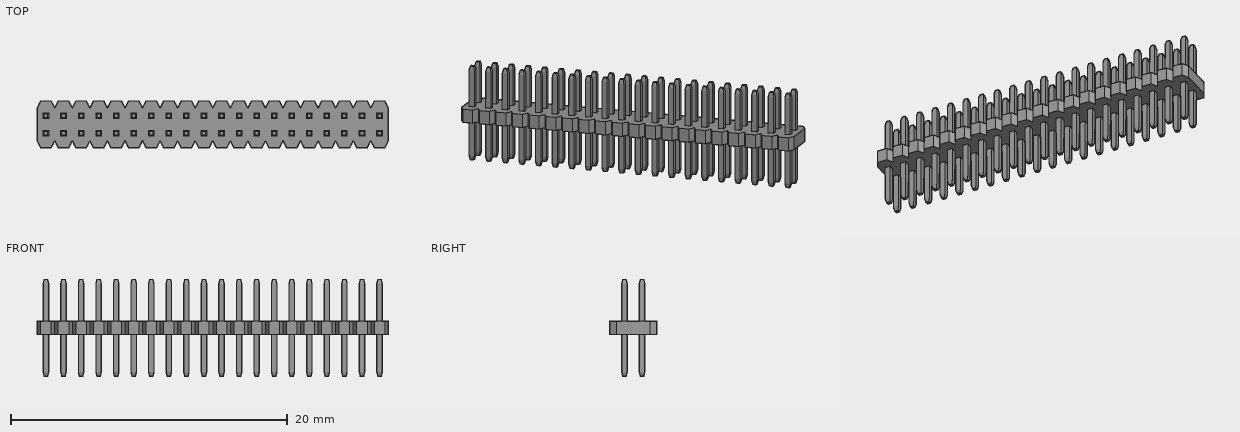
import cadquery as cq

columns = 20
rows = 2
pitch = 1.27

body_length = columns * pitch
body_width = 3.4
body_height = 1.0

notch_depth = 0.5
notch_half_width = 0.25

pin_length = 7.0
pin_side = 0.4
tip_side = 0.25
tip_height = 0.3


def make_body():
    """Strip of side-by-side blocks, each an octagon with bevelled corners.

    The bevels of neighbouring blocks form the V notches along both long sides.
    """
    half_width = body_width / 2
    shoulder = half_width - notch_depth
    start = -body_length / 2

    front_edge = []
    for column in range(columns):
        left = start + column * pitch
        front_edge.append((left, -shoulder))
        front_edge.append((left + notch_half_width, -half_width))
        front_edge.append((left + pitch - notch_half_width, -half_width))
    front_edge.append((start + body_length, -shoulder))

    back_edge = [(x, -y) for x, y in reversed(front_edge)]
    outline = cq.Workplane("XY").polyline(front_edge + back_edge).close()
    return outline.extrude(body_height / 2, both=True)


def make_pin():
    """Square pin with a tapered, flat-ended tip at each end."""
    shank_length = pin_length - 2 * tip_height
    pin = cq.Workplane("XY").box(pin_side, pin_side, shank_length)
    upper_tip = (
        cq.Workplane("XY", origin=(0, 0, shank_length / 2))
        .rect(pin_side, pin_side)
        .workplane(offset=tip_height)
        .rect(tip_side, tip_side)
        .loft(ruled=True)
    )
    return pin.union(upper_tip).union(upper_tip.mirror("XY"))


pin_positions = cq.Workplane("XY").rarray(pitch, pitch, columns, rows)
pin_solid = make_pin().val()
pins = pin_positions.eachpoint(lambda place: pin_solid.moved(place))

result = make_body().union(pins)